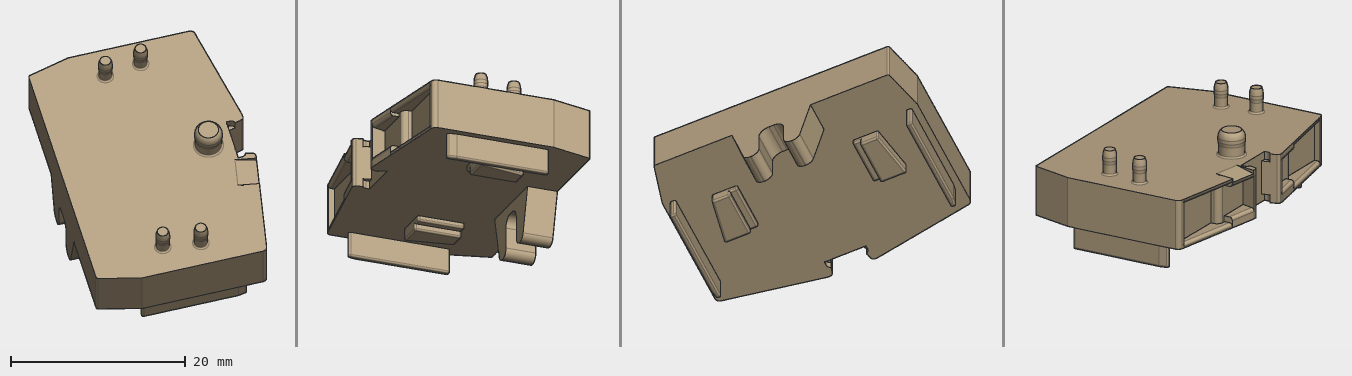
import cadquery as cq
import math

WIDTH = 32.2
DEPTH = 22.2
TOTAL_HEIGHT = 15.0
BODY_HEIGHT = 6.0
PIN_HEIGHT = 3.0
LUG_HEIGHT = TOTAL_HEIGHT - BODY_HEIGHT - PIN_HEIGHT
HALF_WIDTH = WIDTH / 2

FRONT_HALF_WIDTH = 14.8
SIDE_BEND_Y = 5.05
SHOULDER_Y = 19.9
BACK_SLOPE = 10.0
FRONT_CORNER_RADIUS = 0.23
SHOULDER_RADIUS = 0.6

NOTCH_FLOOR_Y = 20.15
NOTCH_FLOOR_HALF_WIDTH = 1.95
NOTCH_MOUTH_HALF_WIDTH = 2.5
NOTCH_LIP_RADIUS = 0.4
CATCH_HALF_WIDTH = 2.6
CATCH_LENGTH = 0.95
CATCH_RADIUS = 0.5
CATCH_HEIGHT = 0.95

LEDGE_Y = 20.45
TRENCH_FLOOR_Y = 19.32
TRENCH_BOTTOM_Z = 0.58
TRENCH_TOP_Z = 5.45
TRENCH_OUTER_X = 15.25
TRENCH_STEP_X = 8.05
TRENCH_INNER_X = 6.92
TRENCH_STEP_RADIUS = 0.7
SLOT_BOTTOM_Z = 1.3
SLOT_TOP_Z = 5.02
RECESS_RIM_RADIUS = 0.4
NOTCH_WALL_THICKNESS = 0.65

POCKET_CORNER_X = 2.8
POCKET_CORNER_Y = 19.7
POCKET_WIDTH = 3.6
POCKET_LENGTH = 2.45
POCKET_DEPTH = 0.42

SMALL_PIN_DIAMETER = 1.5
SMALL_RIDGE_DIAMETER = 1.6
SMALL_TIP_DIAMETER = 1.25
LARGE_PIN_DIAMETER = 3.05
LARGE_RIDGE_DIAMETER = 3.2
LARGE_TIP_DIAMETER = 2.32
LARGE_PIN_Y = 17.32
SMALL_PIN_PLACES = [(13.1, 12.85), (12.5, 8.5)]
PIN_FOOT_RADIUS = 0.2
RIDGE_START = 1.3
RIDGE_FULL = 1.7
RIDGE_END = 2.13

LUG_DEPTH = 3.7
LUG_TOP_HALF_WIDTH = 4.95
LUG_TIP_HALF_WIDTH = 3.4
LUG_SLOT_HALF_WIDTH = 1.55
LUG_SLOT_TOP = 1.25
LUG_SLOT_RADIUS = 1.25
LUG_TIP_RADIUS = 1.0

SKIRT_OUTER_X = 15.25
SKIRT_THICKNESS = 0.75
SKIRT_HEIGHT = 3.0
SKIRT_FRONT_Y = 5.28
SKIRT_TAPER_Y = 16.7
SKIRT_BACK_Y = 17.77
EDGE_RADIUS = 0.23

FOOT_FRONT_Y = 6.45
FOOT_LENGTH = 5.8
FOOT_FRONT_OUTER_X = 10.45
FOOT_BACK_OUTER_X = 11.5
FOOT_INNER_X = 8.2
FOOT_SHELF_X = 7.28
FOOT_HEIGHT = 1.42
FOOT_SHELF_HEIGHT = 0.65


def mirrored(points):
    """Complete a right-hand run of points with its mirror image in X."""
    return points + [(-x, y) for x, y in reversed(points)]


def round_corners(solid, direction, corner, radius):
    """Round the edge along direction nearest to corner, and its mirror image in X."""
    x, y, z = corner
    for side in (-1, 1):
        nearest = cq.selectors.NearestToPointSelector((side * x, y, z))
        solid = solid.edges(direction).edges(nearest).fillet(radius)
    return solid


def make_body():
    back_half_width = HALF_WIDTH - (DEPTH - SHOULDER_Y) / math.tan(math.radians(BACK_SLOPE))
    outline = mirrored([
        (FRONT_HALF_WIDTH, 0),
        (HALF_WIDTH, SIDE_BEND_Y),
        (HALF_WIDTH, SHOULDER_Y),
        (back_half_width, DEPTH),
        (NOTCH_MOUTH_HALF_WIDTH, DEPTH),
        (NOTCH_FLOOR_HALF_WIDTH, NOTCH_FLOOR_Y),
    ])
    body = cq.Workplane("XY").polyline(outline).close().extrude(BODY_HEIGHT)

    mid_height = BODY_HEIGHT / 2
    body = round_corners(body, "|Z", (FRONT_HALF_WIDTH, 0, mid_height), FRONT_CORNER_RADIUS)
    body = round_corners(body, "|Z", (HALF_WIDTH, SHOULDER_Y, mid_height), SHOULDER_RADIUS)
    return round_corners(body, "|Z", (NOTCH_MOUTH_HALF_WIDTH, DEPTH, mid_height), NOTCH_LIP_RADIUS)


def make_catch_recess(bottom_z):
    return (
        cq.Workplane("XY", origin=(0, NOTCH_FLOOR_Y + CATCH_LENGTH / 2, bottom_z))
        .rect(2 * CATCH_HALF_WIDTH, CATCH_LENGTH)
        .extrude(CATCH_HEIGHT)
        .edges("|Z and >Y")
        .fillet(CATCH_RADIUS)
    )


def make_back_recess():
    lean = (NOTCH_MOUTH_HALF_WIDTH - NOTCH_FLOOR_HALF_WIDTH) / (DEPTH - NOTCH_FLOOR_Y)
    end_x = NOTCH_FLOOR_HALF_WIDTH + NOTCH_WALL_THICKNESS + lean * (LEDGE_Y - NOTCH_FLOOR_Y)
    slot = (
        cq.Workplane("XY", origin=(0, 0, SLOT_BOTTOM_Z))
        .polyline([
            (TRENCH_STEP_X, LEDGE_Y),
            (TRENCH_STEP_X, DEPTH),
            (end_x + lean * (DEPTH - LEDGE_Y), DEPTH),
            (end_x, LEDGE_Y),
        ])
        .close()
        .extrude(SLOT_TOP_Z - SLOT_BOTTOM_Z)
    )
    trench = (
        cq.Workplane("XY", origin=(0, 0, TRENCH_BOTTOM_Z))
        .moveTo(TRENCH_OUTER_X, DEPTH)
        .lineTo(TRENCH_INNER_X, DEPTH)
        .lineTo(TRENCH_INNER_X, LEDGE_Y)
        .lineTo(TRENCH_STEP_X - TRENCH_STEP_RADIUS, LEDGE_Y)
        .radiusArc((TRENCH_STEP_X, LEDGE_Y - TRENCH_STEP_RADIUS), TRENCH_STEP_RADIUS)
        .lineTo(TRENCH_STEP_X, TRENCH_FLOOR_Y)
        .lineTo(TRENCH_OUTER_X, TRENCH_FLOOR_Y)
        .close()
        .extrude(TRENCH_TOP_Z - TRENCH_BOTTOM_Z)
    )
    return slot.union(trench)


def cut_back_recesses(body):
    recess = make_back_recess()
    body = body.cut(recess).cut(recess.mirror("YZ"))
    slope = math.radians(BACK_SLOPE)
    for side in (-1, 1):
        along_slope = cq.selectors.ParallelDirSelector(
            cq.Vector(side * math.cos(slope), -math.sin(slope), 0)
        )
        inside_height = cq.selectors.BoxSelector(
            (-HALF_WIDTH, 0, TRENCH_BOTTOM_Z / 2),
            (HALF_WIDTH, DEPTH, (TRENCH_TOP_Z + BODY_HEIGHT) / 2),
        )
        body = body.edges(along_slope).edges(inside_height).fillet(RECESS_RIM_RADIUS)
    return body


def make_pocket():
    run_out = 2 * POCKET_LENGTH
    fall = 2 * POCKET_DEPTH
    return (
        cq.Workplane("YZ")
        .polyline([(0, 0), (run_out, 0), (run_out, -fall)])
        .close()
        .extrude(POCKET_WIDTH)
        .rotate((0, 0, 0), (0, 0, 1), -BACK_SLOPE)
        .translate((POCKET_CORNER_X, POCKET_CORNER_Y, BODY_HEIGHT))
    )


def make_pin(x, y, pin_diameter, ridge_diameter, tip_diameter):
    pin_radius = pin_diameter / 2
    ridge_radius = ridge_diameter / 2
    return (
        cq.Workplane("XZ")
        .lineTo(pin_radius + PIN_FOOT_RADIUS, 0)
        .radiusArc((pin_radius, PIN_FOOT_RADIUS), PIN_FOOT_RADIUS)
        .lineTo(pin_radius, RIDGE_START)
        .lineTo(ridge_radius, RIDGE_FULL)
        .lineTo(ridge_radius, RIDGE_END)
        .tangentArcPoint((tip_diameter / 2, PIN_HEIGHT), relative=False)
        .lineTo(0, PIN_HEIGHT)
        .close()
        .revolve(360, (0, 0, 0), (0, 1, 0))
        .translate((x, y, BODY_HEIGHT))
    )


def make_lug():
    outline = mirrored([
        (LUG_TOP_HALF_WIDTH, 0),
        (LUG_TIP_HALF_WIDTH, -LUG_HEIGHT),
        (LUG_SLOT_HALF_WIDTH, -LUG_HEIGHT),
        (LUG_SLOT_HALF_WIDTH, -LUG_SLOT_TOP),
    ])
    lug = (
        cq.Workplane("XZ")
        .polyline(outline)
        .close()
        .extrude(-LUG_DEPTH)
        .edges("|Y and <Z")
        .fillet(LUG_TIP_RADIUS)
    )
    slot_corner = (LUG_SLOT_HALF_WIDTH, LUG_DEPTH / 2, -LUG_SLOT_TOP)
    return round_corners(lug, "|Y", slot_corner, LUG_SLOT_RADIUS)


def make_skirt():
    inner_x = SKIRT_OUTER_X - SKIRT_THICKNESS
    taper = (SKIRT_BACK_Y - SKIRT_TAPER_Y) * math.tan(math.radians(BACK_SLOPE))
    return (
        cq.Workplane("XY")
        .polyline([
            (inner_x, SKIRT_FRONT_Y),
            (SKIRT_OUTER_X, SKIRT_FRONT_Y),
            (SKIRT_OUTER_X, SKIRT_TAPER_Y),
            (SKIRT_OUTER_X - taper, SKIRT_BACK_Y),
            (inner_x, SKIRT_BACK_Y),
        ])
        .close()
        .extrude(-SKIRT_HEIGHT)
        .edges("(|Z and (<Y or >Y)) or <Z")
        .fillet(EDGE_RADIUS)
    )


def make_foot():
    back_y = FOOT_FRONT_Y + FOOT_LENGTH
    block = (
        cq.Workplane("XY")
        .polyline([
            (FOOT_INNER_X, FOOT_FRONT_Y),
            (FOOT_FRONT_OUTER_X, FOOT_FRONT_Y),
            (FOOT_BACK_OUTER_X, back_y),
            (FOOT_INNER_X, back_y),
        ])
        .close()
        .extrude(-FOOT_HEIGHT)
        .edges("|Z or <Z")
        .fillet(EDGE_RADIUS)
    )
    shelf = (
        cq.Workplane("XY")
        .moveTo(FOOT_SHELF_X, FOOT_FRONT_Y)
        .lineTo(FOOT_FRONT_OUTER_X - EDGE_RADIUS, FOOT_FRONT_Y)
        .lineTo(FOOT_FRONT_OUTER_X - EDGE_RADIUS, back_y)
        .lineTo(FOOT_SHELF_X, back_y)
        .close()
        .extrude(-FOOT_SHELF_HEIGHT)
        .edges("(|Z and <X) or <Z")
        .fillet(EDGE_RADIUS)
    )
    return block.union(shelf)


result = cut_back_recesses(make_body()).cut(make_pocket())
for recess_z in (0, BODY_HEIGHT - CATCH_HEIGHT):
    result = result.cut(make_catch_recess(recess_z))

result = result.union(make_lug())
result = result.union(
    make_pin(0, LARGE_PIN_Y, LARGE_PIN_DIAMETER, LARGE_RIDGE_DIAMETER, LARGE_TIP_DIAMETER)
)
for pin_x, pin_y in SMALL_PIN_PLACES:
    for side in (-1, 1):
        result = result.union(
            make_pin(side * pin_x, pin_y, SMALL_PIN_DIAMETER, SMALL_RIDGE_DIAMETER, SMALL_TIP_DIAMETER)
        )

for hanging_part in (make_skirt(), make_foot()):
    result = result.union(hanging_part).union(hanging_part.mirror("YZ"))